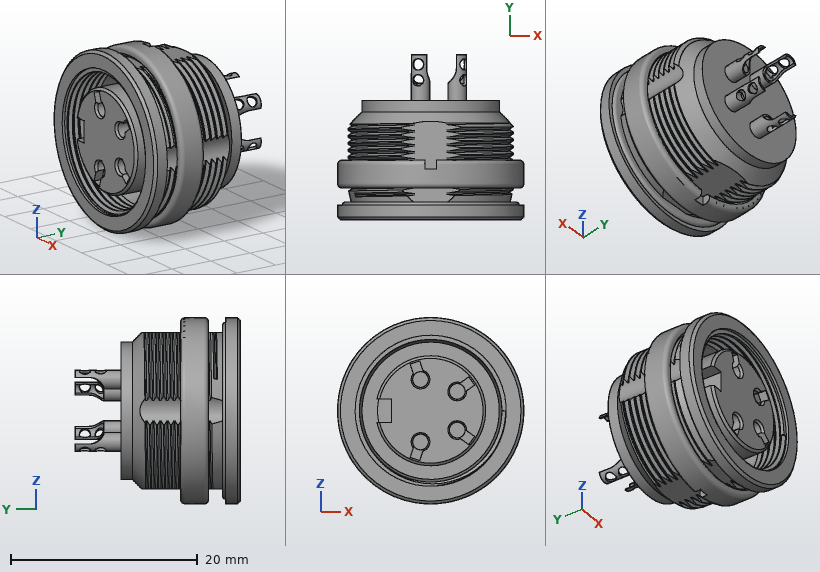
import cadquery as cq
import math


flange_radius = 10.0
flange_chamfer = 0.32
flange_back = 1.55
seat_radius = 9.5
seat_back = 1.92
seat_fillet = seat_back - flange_back
runout_radius = 8.6
runout_end = 3.4
thread_radius = 9.0
rear_radius = 7.4
rear_start = 11.55
rear_end = 12.8
cone_start = rear_start - (thread_radius - rear_radius)
flat_height = 8.4
side_groove_radius = 2.0
side_groove_floor = 8.2

advance_in_four_turns = 3.0
pitch = advance_in_four_turns / 4
groove_root = 0.15
flank_angle = 30.0
outer_groove_depth = 0.42
outer_groove_start = 2.62
outer_start_angle = -157.0
first_arc_angle = -90.0 - outer_start_angle
inner_groove_depth = 0.4
overlap = 0.05

recess_radius = 8.1
recess_depth = 0.32
bore_radius = 7.65
bore_depth = 6.0
seam_angle = 45.0
floor_radius = 7.35
inner_turns = 4.7
inner_runout_turns = 0.2
inner_thread_end = recess_depth + (inner_turns + inner_runout_turns) * pitch
insert_radius = 5.9
insert_face = 0.2
insert_chamfer = 0.28
key_width = 2.52
key_floor = 4.2
key_depth = 6.4
floor_lip_radius = 5.7

contact_radius = 3.52
contact_angles = (36.0, 108.0, -108.0, -36.0)
socket_radius = 1.0
socket_floor_radius = 0.85
socket_taper_depth = 0.3
socket_depth = 2.0
slit_width = 1.08
slit_end = 5.45
slit_depth = 1.0
pin_radius = 1.0
pin_end = 17.7
cup_radius = 1.5 / 2
cup_floor = 14.6
cup_opening = 0.5
cup_cutter_radius = 1.6
wire_hole_radius = 0.6
wire_hole_places = (14.95, 16.65)

nut_start = 3.4
nut_width = 3.0
nut_fillet = 0.48
nut_bore_radius = thread_radius - outer_groove_depth / 2
nut_countersink_radius = 9.15
nut_slot_width = 1.25
nut_slot_depth = 0.95


def revolve_about_y(points):
    return cq.Workplane("XY").polyline(points).close().revolve(360, (0, 0, 0), (0, 1, 0))


def along_y(shape):
    """Turn a shape built along Z so that its Z axis becomes Y."""
    return shape.rotate((0, 0, 0), (1, 0, 0), -90)


def groove_arc(mouth_radius, depth, sweep_angle, outward, start_angle, start):
    """Stretch of a right-hand V groove around Y; angles run from +X toward -Z."""
    side = 1 if outward else -1
    root = mouth_radius + side * depth
    mouth = mouth_radius - side * overlap
    half_root = groove_root / 2
    half_mouth = half_root + (depth + overlap) * math.tan(math.radians(flank_angle))
    helix = cq.Wire.makeHelix(pitch, pitch * sweep_angle / 360, mouth_radius)
    groove = (
        cq.Workplane("XZ")
        .polyline([(mouth, -half_mouth), (root, -half_root), (root, half_root), (mouth, half_mouth)])
        .close()
        .sweep(cq.Workplane(helix), isFrenet=True)
    )
    return along_y(groove).rotate((0, 0, 0), (0, 1, 0), start_angle).translate((0, start, 0))


def cut_outer_thread(body):
    """Cut the thread arc by arc; full arcs meet in the gaps left by the flats and side grooves."""
    angle = outer_start_angle
    place = outer_groove_start
    sweep_angle = first_arc_angle
    while place < cone_start + pitch:
        body = body.cut(groove_arc(thread_radius, outer_groove_depth, sweep_angle, False, angle, place))
        angle += sweep_angle
        place += pitch * sweep_angle / 360
        sweep_angle = 90.0
    return body


def shell_blank():
    body = revolve_about_y([
        (0, 0),
        (flange_radius - flange_chamfer, 0),
        (flange_radius, flange_chamfer),
        (flange_radius, flange_back),
        (runout_radius, flange_back),
        (runout_radius, seat_back),
        (thread_radius, runout_end),
        (thread_radius, cone_start),
        (rear_radius, rear_start),
        (rear_radius, rear_end),
        (0, rear_end),
    ])
    seat = cq.Workplane("XY").circle(seat_radius).extrude(seat_back - flange_chamfer)
    seat = seat.faces(">Z").edges().fillet(seat_fillet)
    body = body.union(along_y(seat).translate((0, flange_chamfer, 0)))
    shank_length = rear_end - seat_back
    for side in (1, -1):
        flat = cq.Workplane("XY").box(
            2 * flange_radius, shank_length, thread_radius, centered=(True, False, False)
        ).translate((0, seat_back, flat_height if side > 0 else -flat_height - thread_radius))
        side_groove = along_y(
            cq.Workplane("XY").circle(side_groove_radius).extrude(shank_length)
        ).translate((side * (side_groove_floor + side_groove_radius), seat_back, 0))
        body = body.cut(flat).cut(side_groove)
    return body


def socket_cavity():
    """Bore around the insert, with the key slot in the insert."""
    cavity = revolve_about_y([
        (0, 0),
        (recess_radius, 0),
        (recess_radius, recess_depth),
        (bore_radius, recess_depth),
        (bore_radius, inner_thread_end),
        (floor_radius, bore_depth),
        (insert_radius, bore_depth),
        (insert_radius, insert_face + insert_chamfer),
        (insert_radius - insert_chamfer, insert_face),
        (0, insert_face),
    ])
    cavity = cavity.rotate((0, 0, 0), (0, 1, 0), seam_angle)
    key = cq.Workplane("XY").box(
        insert_radius - key_floor + overlap, bore_depth, key_width, centered=(False, False, True)
    ).translate((-insert_radius - overlap, 0, 0))
    key_bottom = along_y(cq.Workplane("XY").circle(floor_lip_radius).extrude(key_depth))
    key_bottom = key_bottom.intersect(key.translate((0, key_depth - bore_depth, 0)))
    return cavity.union(key).union(key_bottom)


def contact_socket():
    """Tapered contact hole with a slit toward the rim; radial direction is +X."""
    hole = revolve_about_y([
        (0, 0),
        (socket_radius, 0),
        (socket_floor_radius, socket_taper_depth),
        (socket_floor_radius, socket_depth),
        (0, socket_depth),
    ])
    slit = cq.Workplane("XY").box(
        slit_end - contact_radius, slit_depth, slit_width, centered=(False, False, True)
    )
    return hole.union(slit).translate((contact_radius, insert_face, 0))


def solder_pin():
    """Solder cup open toward the connector axis; radial direction is +X."""
    cup_length = pin_end - cup_floor
    pin = along_y(cq.Workplane("XY").circle(pin_radius).extrude(pin_end - rear_end + overlap))
    pin = pin.translate((0, rear_end - overlap, 0))
    cup = along_y(cq.Workplane("XY").circle(cup_radius).extrude(cup_length)).translate((0, cup_floor, 0))
    opening = (
        cq.Workplane("XY")
        .box(2 * cup_cutter_radius, cup_length, 2 * cup_cutter_radius, centered=(False, False, True))
        .edges(">X and <Y")
        .fillet(cup_cutter_radius)
        .translate((cup_opening - 2 * cup_cutter_radius, cup_floor, 0))
    )
    pin = pin.cut(cup).cut(opening)
    for place in wire_hole_places:
        pin = pin.cut(cq.Workplane("YZ").center(place, 0).circle(wire_hole_radius).extrude(2 * pin_radius))
    return pin.translate((contact_radius, 0, 0))


def ring_nut():
    nut = cq.Workplane("XY").circle(flange_radius).extrude(nut_width).edges().fillet(nut_fillet)
    countersink_depth = nut_countersink_radius - nut_bore_radius
    bore = revolve_about_y([
        (0, 0),
        (nut_countersink_radius, 0),
        (nut_bore_radius, countersink_depth),
        (nut_bore_radius, nut_width - countersink_depth),
        (nut_countersink_radius, nut_width),
        (0, nut_width),
    ])
    slot = cq.Workplane("XY").box(
        nut_slot_width, 2 * flange_radius, nut_slot_depth, centered=(True, True, False)
    ).translate((0, 0, nut_width - nut_slot_depth))
    return along_y(nut.cut(slot)).cut(bore).translate((0, nut_start, 0))


result = cut_outer_thread(shell_blank().cut(socket_cavity()))
result = result.cut(groove_arc(bore_radius, inner_groove_depth, 360 * inner_turns, True, 0, recess_depth))
result = result.union(ring_nut())
for angle in contact_angles:
    result = result.cut(contact_socket().rotate((0, 0, 0), (0, 1, 0), -angle))
    result = result.union(solder_pin().rotate((0, 0, 0), (0, 1, 0), -angle))